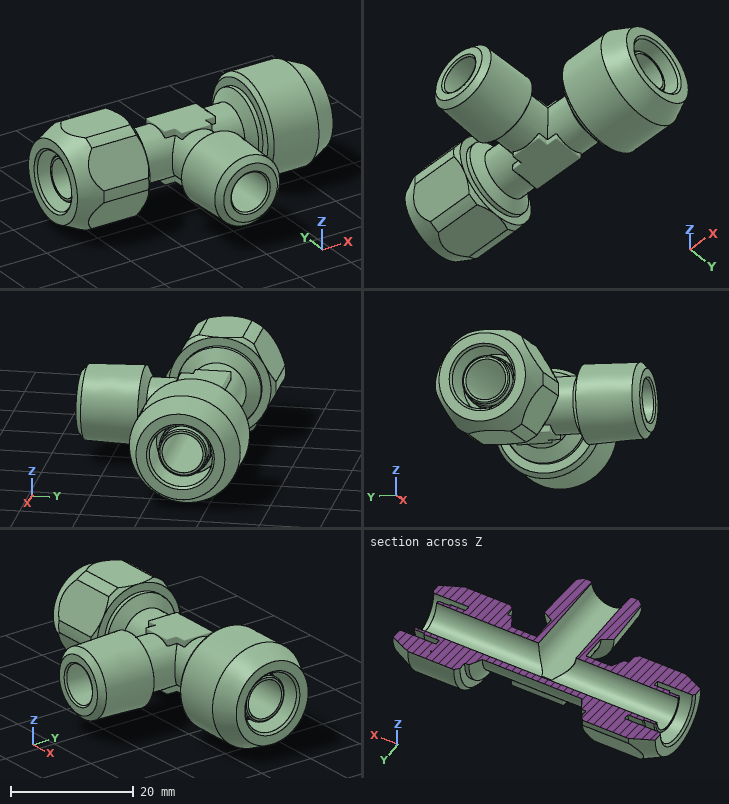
import cadquery as cq


length = 50.0
mid_x = length / 2

cap_length = 13.5
cap_radius = 9.25
cap_mouth_radius = 7.4
cap_taper_length = 4.0
cap_back_chamfer = 0.75
hex_across_flats = 17.0

pipe_radius = 4.75
collar_radius = 7.0
collar_length = 0.8
collar_cone_length = 1.25

branch_shoulder_start = 9.4
branch_shoulder_end = 10.45
branch_tip_start = 20.0
branch_length = 21.0
branch_root_radius = 6.65
branch_end_radius = 6.35
branch_tip_radius = 5.25

pad_half_size = 5.0
pad_back = 3.05
pad_notch = 2.95
pad_round = 0.2

bore_radius = 3.4
sleeve_radius = 4.3
sleeve_step = 0.25
sleeve_step_length = 0.2
sleeve_tip_depth = 2.0
sleeve_step_depth = 4.0
socket_radius = 5.25
socket_depth = 7.0
mouth_chamfer = 0.4
branch_bore_radius = 3.55
branch_mouth_chamfer = 0.3


def turned_on_run(points):
    """Solid of revolution about X from (x, radius) points."""
    return cq.Workplane("XY").polyline(points).close().revolve(360, (0, 0, 0), (1, 0, 0))


def turned_on_branch(points):
    """Solid of revolution about the branch axis from (radius, distance) points."""
    outline = [(mid_x + radius, -distance) for radius, distance in points]
    return cq.Workplane("XY").polyline(outline).close().revolve(360, (mid_x, 0, 0), (mid_x, 1, 0))


def mirrored(solid):
    """The same solid at the opposite end of the run."""
    return solid.mirror("YZ", (mid_x, 0, 0))


def make_cap():
    return turned_on_run([
        (0, 0),
        (0, cap_mouth_radius),
        (cap_taper_length, cap_radius),
        (cap_length - cap_back_chamfer, cap_radius),
        (cap_length, cap_radius - cap_back_chamfer),
        (cap_length, 0),
    ])


def make_hex_bar():
    """Hexagonal bar with two of its flats facing up and down."""
    return (
        cq.Workplane("YZ")
        .polygon(6, hex_across_flats, circumscribed=True)
        .extrude(cap_length)
        .rotate((0, 0, 0), (1, 0, 0), 30)
    )


def make_half_run():
    """Collar, cone and pipe from the cap to the middle of the run."""
    collar_end = cap_length + collar_length
    return turned_on_run([
        (cap_length, 0),
        (cap_length, collar_radius),
        (collar_end, collar_radius),
        (collar_end + collar_cone_length, pipe_radius),
        (mid_x, pipe_radius),
        (mid_x, 0),
    ])


def make_branch():
    return turned_on_branch([
        (0, 0),
        (pipe_radius, 0),
        (pipe_radius, branch_shoulder_start),
        (branch_root_radius, branch_shoulder_end),
        (branch_end_radius, branch_tip_start),
        (branch_tip_radius, branch_length),
        (0, branch_length),
    ])


def make_pads():
    """T-shaped block whose rounded ends stand proud of the pipes as pads."""
    return (
        cq.Workplane("XY")
        .workplane(offset=-pad_half_size)
        .polyline([
            (-pad_half_size, pad_back),
            (pad_half_size, pad_back),
            (pad_half_size, -pad_notch),
            (pad_notch, -pad_notch),
            (pad_notch, -pad_half_size),
            (-pad_notch, -pad_half_size),
            (-pad_notch, -pad_notch),
            (-pad_half_size, -pad_notch),
        ])
        .close()
        .extrude(2 * pad_half_size)
        .edges("|Z")
        .fillet(pad_round)
        .faces("<Z or >Z")
        .fillet(pad_round)
        .translate((mid_x, 0, 0))
    )


def make_half_run_bore():
    """Chamfered tube socket around a stepped sleeve, and the bore up to the middle of the run."""
    neck_radius = sleeve_radius - sleeve_step
    return turned_on_run([
        (0, 0),
        (0, socket_radius + mouth_chamfer),
        (mouth_chamfer, socket_radius),
        (socket_depth, socket_radius),
        (socket_depth, sleeve_radius),
        (sleeve_step_depth + sleeve_step_length, sleeve_radius),
        (sleeve_step_depth, neck_radius),
        (sleeve_tip_depth + sleeve_step_length, neck_radius),
        (sleeve_tip_depth, neck_radius - sleeve_step),
        (sleeve_tip_depth, bore_radius),
        (mid_x, bore_radius),
        (mid_x, 0),
    ])


def make_branch_bore():
    return turned_on_branch([
        (0, 0),
        (branch_bore_radius, 0),
        (branch_bore_radius, branch_length - branch_mouth_chamfer),
        (branch_bore_radius + branch_mouth_chamfer, branch_length),
        (0, branch_length),
    ])


nut = make_cap().intersect(make_hex_bar())
round_cap = mirrored(make_cap())
half_run = make_half_run()
half_run_bore = make_half_run_bore()

body = half_run.union(mirrored(half_run)).union(make_branch()).union(make_pads())
body = body.union(nut).union(round_cap)

result = body.cut(half_run_bore).cut(mirrored(half_run_bore)).cut(make_branch_bore())